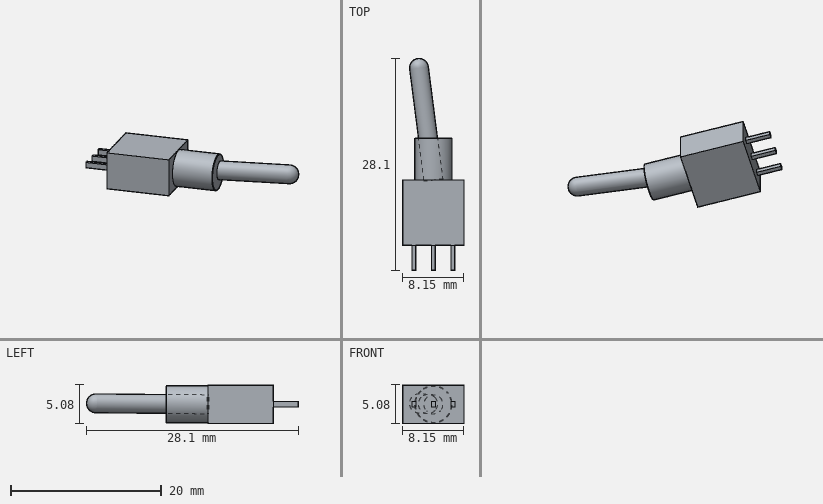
import cadquery as cq
import math

HOUSING_WIDTH = 8.15
HOUSING_LENGTH = 8.65
HOUSING_HEIGHT = 5.08

BUSHING_DIAMETER = 4.95
BUSHING_LENGTH = 5.55
BUSHING_CHAMFER = 0.08

PIN_WIDTH = 0.53
PIN_HEIGHT = 0.75
PIN_LENGTH = 3.3
PIN_PITCH = 2.58
PIN_COUNT = 3

OVERALL_LENGTH = 28.07
LEVER_DIAMETER = 2.53
LEVER_TILT = 7.3
LEVER_LIFT = 0.5

lever_radius = LEVER_DIAMETER / 2
tip_centre_y = OVERALL_LENGTH - PIN_LENGTH - lever_radius
lever_root = cq.Vector(0, HOUSING_LENGTH, 0)
lever_reach = tip_centre_y - HOUSING_LENGTH
lever_axis = cq.Vector(
    -lever_reach * math.tan(math.radians(LEVER_TILT)),
    lever_reach,
    lever_reach * math.tan(math.radians(LEVER_LIFT)),
)


def make_lever():
    """Tilted round rod with a hemispherical tip."""
    rod = cq.Solid.makeCylinder(lever_radius, lever_axis.Length, lever_root, lever_axis)
    tip = cq.Workplane("XY").sphere(lever_radius).translate(lever_root + lever_axis)
    return cq.Workplane(rod).union(tip)


def make_housing(lever):
    """Box with a chamfered round bushing and a socket matching the lever."""
    box = cq.Workplane("XY").box(
        HOUSING_WIDTH, HOUSING_LENGTH, HOUSING_HEIGHT, centered=(True, False, True)
    )
    bushing = (
        cq.Workplane("XZ", origin=lever_root.toTuple())
        .circle(BUSHING_DIAMETER / 2)
        .extrude(-BUSHING_LENGTH)
        .faces(">Y")
        .chamfer(BUSHING_CHAMFER)
    )
    return box.union(bushing).cut(lever)


def make_pin(x):
    """Rectangular terminal pin standing on the housing's -Y face."""
    return (
        cq.Workplane("XZ", origin=(x, 0, 0))
        .rect(PIN_WIDTH, PIN_HEIGHT)
        .extrude(PIN_LENGTH)
    )


lever = make_lever()
housing = make_housing(lever)

pins = []
for index in range(PIN_COUNT):
    offset = index - (PIN_COUNT - 1) / 2
    pins.append(make_pin(offset * PIN_PITCH).val())

result = cq.Compound.makeCompound([housing.val(), lever.val(), *pins])